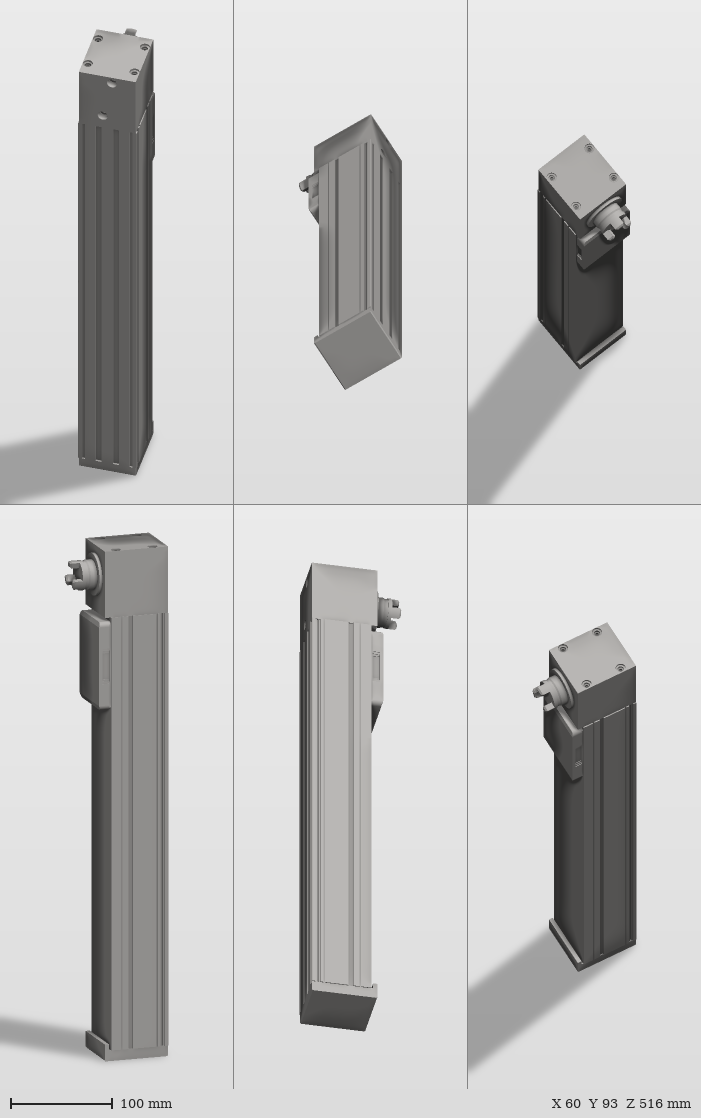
import cadquery as cq
import math


total_height = 516.0
total_depth = 93.0

rail_width = 60.0
rail_depth = 59.5
rail_corner_radius = 0.5

block_width = 58.0
block_depth = 65.5
head_height = 67.0
cap_height = 11.0

front_grooves = [(5.5, 12.0, 2.0), (22.5, 26.0, 1.5)]
side_grooves = [
    (3.5, 8.0, 1.5),
    (5.0, 6.5, 3.0),
    (11.5, 13.0, 1.0),
    (36.5, 41.5, 2.0),
    (47.5, 49.0, 1.0),
]

top_screw_x = 23.5
top_screw_rows = (14.5, 52.5)
top_screw_steps = [(10.0, 2.0), (6.0, 4.0), (3.25, 6.0)]
front_screw_x = 4.5
front_screw_drops = (7.0, 51.5)
front_screw_steps = [(10.5, 7.5), (6.0, 10.0), (2.5, 12.0)]

lip_height = 6.0
lip_thickness = 4.0
lip_root_radius = 2.0
cap_edge_chamfer = 1.0

box_height = 89.0
box_depth = 12.5
box_top_drop = 71.5
box_corner_radius = 4.5
box_bevel_height = 4.5
box_bevel_depth = 1.5
box_seat_height = 1.5
box_seat_inset = 0.5
box_pocket_steps = [(35.5, 0.5), (31.0, 1.0), (26.5, 1.5)]
box_pocket_width = 7.0

plug_drop = 29.5
flange_diameter = 42.5
flange_thickness = 3.0
plug_diameter = 30.0
prong_length = 9.5
prong_count = 3
prong_half_angle = 21.0
prong_tip_chamfer = 1.5
prong_inner_diameter = 17.5
ring_groove_front = 11.5
ring_groove_width = 3.0
ring_groove_depth = 0.75
ring_groove_bevel = 1.5

rail_bottom = cap_height
rail_top = total_height - head_height
plug_z = total_height - plug_drop
plug_length = total_depth - block_depth


def block(width, depth, bottom, height):
    """Upright block centred on X with its front face at Y = 0."""
    corner = (-width / 2, 0, bottom)
    return cq.Workplane("XY").box(width, depth, height, centered=False).translate(corner)


def make_rail():
    rail = block(rail_width, rail_depth, rail_bottom, rail_top - rail_bottom)
    rail = rail.edges("|Z").edges("<Y").fillet(rail_corner_radius)
    length = rail_top - rail_bottom
    for side in (-1, 1):
        for start, end, depth in front_grooves:
            middle = side * (start + end) / 2
            cutter = block(end - start, depth, rail_bottom, length)
            rail = rail.cut(cutter.translate((middle, 0, 0)))
        for start, end, depth in side_grooves:
            middle = side * (rail_width - depth) / 2
            cutter = block(depth, end - start, rail_bottom, length)
            rail = rail.cut(cutter.translate((middle, start, 0)))
    return rail


def stepped_hole(position, direction, steps):
    """Cutter made of coaxial cylinders, each narrower and deeper than the last."""
    cutter = cq.Workplane("XY")
    for diameter, depth in steps:
        cylinder = cq.Solid.makeCylinder(
            diameter / 2, depth, cq.Vector(*position), cq.Vector(*direction)
        )
        cutter = cutter.add(cylinder)
    return cutter.combine()


def make_head():
    head = block(block_width, block_depth, rail_top, head_height)
    for side in (-1, 1):
        for y in top_screw_rows:
            position = (side * top_screw_x, y, total_height)
            head = head.cut(stepped_hole(position, (0, 0, -1), top_screw_steps))
    for side, drop in zip((1, -1), front_screw_drops):
        position = (side * front_screw_x, 0, total_height - drop)
        head = head.cut(stepped_hole(position, (0, 1, 0), front_screw_steps))
    return head


def make_cap():
    cap = block(block_width, block_depth, 0, cap_height)
    cap = cap.edges("|X").edges("<Z").chamfer(cap_edge_chamfer)
    lip_front = block_depth - lip_thickness
    lip_top = cap_height + lip_height
    lip = (
        cq.Workplane("YZ", origin=(-block_width / 2, 0, 0))
        .moveTo(lip_front - lip_root_radius, cap_height)
        .radiusArc((lip_front, cap_height + lip_root_radius), -lip_root_radius)
        .lineTo(lip_front, lip_top)
        .lineTo(block_depth, lip_top)
        .lineTo(block_depth, cap_height)
        .close()
        .extrude(block_width)
    )
    return cap.union(lip)


def make_box():
    box_bottom = total_height - box_top_drop - box_height
    box = block(block_width, box_depth, box_bottom, box_height)
    box = box.edges("|Y").fillet(box_corner_radius)
    box_top = box_bottom + box_height
    bevel_start = box_depth - box_bevel_depth
    side_outline = (
        cq.Workplane("YZ", origin=(-block_width / 2, 0, 0))
        .polyline([
            (0, box_bottom),
            (bevel_start, box_bottom),
            (box_depth, box_bottom + box_bevel_height),
            (box_depth, box_top - box_bevel_height),
            (bevel_start, box_top),
            (0, box_top),
        ])
        .close()
        .extrude(block_width)
    )
    box = box.intersect(side_outline)
    middle_z = box_bottom + box_height / 2
    for side in (-1, 1):
        seat_x = side * (block_width - box_seat_inset) / 2
        seat_cut = block(box_seat_inset, box_seat_height, box_bottom, box_height)
        box = box.cut(seat_cut.translate((seat_x, 0, 0)))
        for height, depth in box_pocket_steps:
            pocket_x = side * (block_width - depth) / 2
            pocket = block(depth, box_pocket_width, middle_z - height / 2, height)
            box = box.cut(pocket.translate((pocket_x, box_seat_height, 0)))
    return box.translate((0, rail_depth, 0))


def make_plug():
    plug_radius = plug_diameter / 2
    groove_radius = plug_radius - ring_groove_depth
    body_end = plug_length - prong_length
    groove_end = ring_groove_front + ring_groove_width
    plug = (
        cq.Workplane("XY")
        .polyline([
            (0, 0),
            (flange_diameter / 2, 0),
            (flange_diameter / 2, flange_thickness),
            (plug_radius, flange_thickness),
            (plug_radius, ring_groove_front - ring_groove_bevel),
            (groove_radius, ring_groove_front),
            (groove_radius, groove_end),
            (plug_radius, groove_end),
            (plug_radius, body_end),
            (0, body_end),
        ])
        .close()
        .revolve(360, (0, 0), (0, 1))
    )
    for index in range(prong_count):
        plug = plug.union(make_prong(90 + index * 360 / prong_count, body_end))
    return plug.translate((0, block_depth, plug_z))


def make_prong(angle, start):
    """Ring segment about the plug axis, centred on the given angle."""
    def on_circle(diameter, offset):
        direction = math.radians(angle + offset)
        return (diameter / 2 * math.cos(direction), diameter / 2 * math.sin(direction))

    return (
        cq.Workplane("XZ", origin=(0, start, 0))
        .moveTo(*on_circle(plug_diameter, -prong_half_angle))
        .threePointArc(on_circle(plug_diameter, 0), on_circle(plug_diameter, prong_half_angle))
        .lineTo(*on_circle(prong_inner_diameter, prong_half_angle))
        .threePointArc(on_circle(prong_inner_diameter, 0), on_circle(prong_inner_diameter, -prong_half_angle))
        .close()
        .extrude(-prong_length)
        .faces(">Y")
        .chamfer(prong_tip_chamfer)
    )


rail = make_rail()
head = make_head()
cap = make_cap()
box = make_box()
plug = make_plug()

result = cq.Compound.makeCompound([rail.val(), head.val(), cap.val(), box.val(), plug.val()])